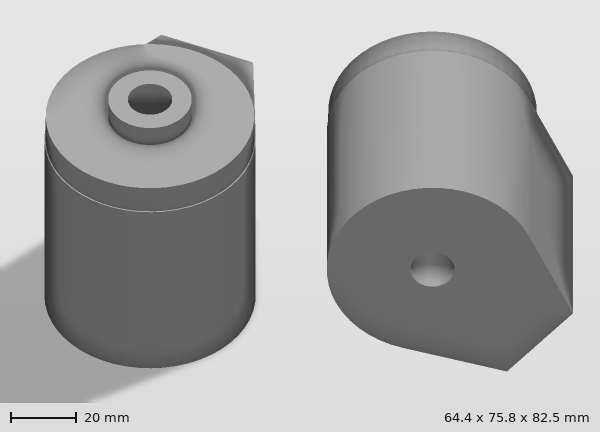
import cadquery as cq
import math

total_height = 82.5
body_radius = 32.2
back_depth = 43.6
back_width = 30.5

boss_height = 7.1
cap_height = 9.7
body_height = total_height - cap_height - boss_height

cap_diameter = 63.5
boss_diameter = 25.4
bore_diameter = 13.5


def make_body():
    """Round body whose sides run tangentially to a narrower flat back."""
    half_back = back_width / 2
    corner_distance = math.hypot(half_back, back_depth)
    corner_angle = math.atan2(back_depth, half_back)
    tangent_angle = corner_angle - math.acos(body_radius / corner_distance)
    tangent_x = body_radius * math.cos(tangent_angle)
    tangent_y = body_radius * math.sin(tangent_angle)
    return (
        cq.Workplane("XY")
        .moveTo(-half_back, back_depth)
        .lineTo(-tangent_x, tangent_y)
        .threePointArc((0, -body_radius), (tangent_x, tangent_y))
        .lineTo(half_back, back_depth)
        .close()
        .extrude(body_height)
    )


def make_disc(diameter, height, base_height):
    """Upright disc on the bore axis."""
    return cq.Workplane("XY").workplane(offset=base_height).circle(diameter / 2).extrude(height)


cap = make_disc(cap_diameter, cap_height, body_height)
boss = make_disc(boss_diameter, boss_height, body_height + cap_height)
bore = make_disc(bore_diameter, total_height, 0)

result = make_body().union(cap).union(boss).cut(bore)